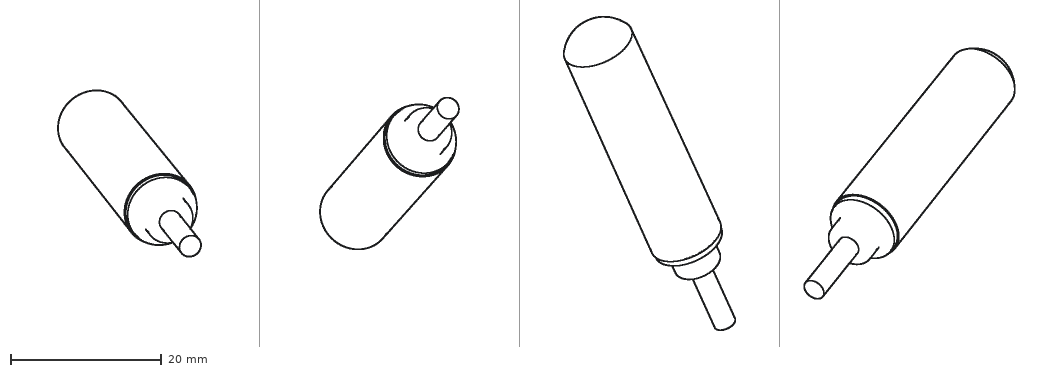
import cadquery as cq
import math

total_length = 51.55
dome_height = 3.05
pin_length = 10.0
neck_length = 3.6
shoulder_length = 0.3
collar_length = 0.95

dome_base_radius = 9.75 / 2
body_end_radius = 10.0 / 2
collar_radius = 9.6 / 2
shoulder_radius = 3.7
neck_radius = 6.5 / 2
pin_radius = 3.0 / 2
root_fillet = shoulder_radius - neck_radius
rim_fillet = 0.5

x_tip = -total_length / 2
x_dome = x_tip + dome_height
x_pin_end = total_length / 2
x_neck_end = x_pin_end - pin_length
x_shoulder_end = x_neck_end - neck_length
x_collar_end = x_shoulder_end - shoulder_length
x_body_end = x_collar_end - collar_length

sphere_radius = (dome_base_radius**2 + dome_height**2) / (2 * dome_height)
half_angle = math.asin(dome_base_radius / sphere_radius) / 2
dome_middle = (
    x_tip + sphere_radius * (1 - math.cos(half_angle)),
    sphere_radius * math.sin(half_angle),
)

profile = (
    cq.Workplane("XY")
    .moveTo(x_tip, 0)
    .threePointArc(dome_middle, (x_dome, dome_base_radius))
    .lineTo(x_body_end, body_end_radius)
    .lineTo(x_body_end, collar_radius)
    .lineTo(x_collar_end, collar_radius)
    .lineTo(x_shoulder_end, shoulder_radius)
    .radiusArc((x_shoulder_end + root_fillet, neck_radius), -root_fillet)
    .lineTo(x_neck_end - rim_fillet, neck_radius)
    .radiusArc((x_neck_end, neck_radius - rim_fillet), rim_fillet)
    .lineTo(x_neck_end, pin_radius)
    .lineTo(x_pin_end, pin_radius)
    .lineTo(x_pin_end, 0)
    .close()
)
result = profile.revolve(360, (0, 0, 0), (1, 0, 0))